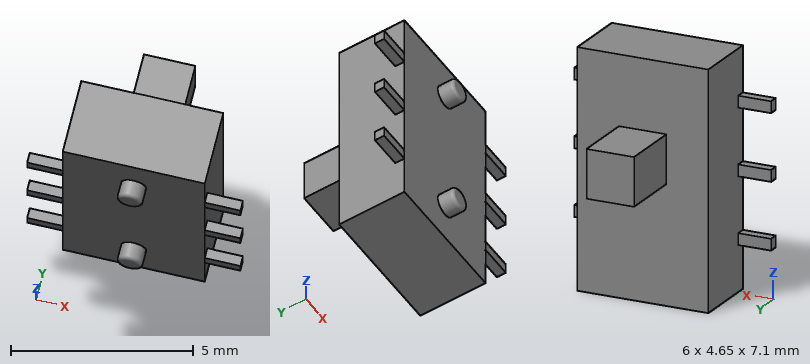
import cadquery as cq

HOUSING_WIDTH = 4.0
HOUSING_DEPTH = 2.145
HOUSING_HEIGHT = 7.1

SLIDER_SIDE = 1.45
SLIDER_REACH = 2.0
SLIDER_OFFSET = 0.73

LEAD_SPAN = 6.0
LEAD_LENGTH = (LEAD_SPAN - HOUSING_WIDTH) / 2
LEAD_DEPTH = 0.3
LEAD_HEIGHT = 0.35
LEAD_PITCH = 2.0

POST_DIAMETER = 0.7
POST_LENGTH = 0.505
POST_SPACING = 4.5
POST_TIP_ROUND = 0.1


def make_housing():
    return cq.Workplane("XY").box(
        HOUSING_WIDTH, HOUSING_DEPTH, HOUSING_HEIGHT, centered=(True, False, True)
    )


def make_slider():
    block = cq.Workplane("XY").box(
        SLIDER_SIDE, SLIDER_REACH, SLIDER_SIDE, centered=(True, False, True)
    )
    return block.translate((0, HOUSING_DEPTH, SLIDER_OFFSET))


def make_lead(side, z):
    """Straight lead on the -X side (side = -1) or +X side (side = 1)."""
    bar = cq.Workplane("XY").box(
        LEAD_LENGTH, LEAD_DEPTH, LEAD_HEIGHT, centered=(True, False, True)
    )
    return bar.translate((side * (HOUSING_WIDTH + LEAD_LENGTH) / 2, 0, z))


def make_post(z):
    """Round post pointing toward -Y, with a rounded tip edge."""
    post = cq.Workplane("XZ").circle(POST_DIAMETER / 2).extrude(POST_LENGTH)
    return post.faces("<Y").edges().fillet(POST_TIP_ROUND).translate((0, 0, z))


housing = make_housing()
slider = make_slider()

leads = []
for side in (-1, 1):
    for row in (-1, 0, 1):
        leads.append(make_lead(side, row * LEAD_PITCH).val())

posts = []
for end in (-1, 1):
    posts.append(make_post(end * POST_SPACING / 2).val())

result = cq.Compound.makeCompound([housing.val(), slider.val(), *leads, *posts])